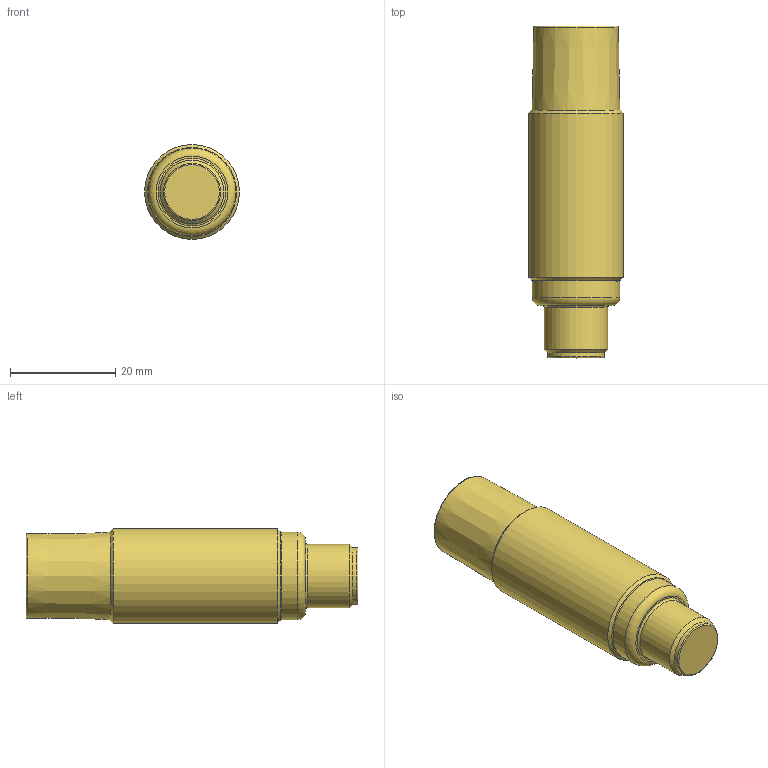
import cadquery as cq
import math

total_length = 63.0

tip_radius = 5.4
plug_radius = 6.05
collar_radius = 8.3
body_radius = 9.0
tail_root_radius = 8.3
tail_taper_angle = 1.0

tip_length = 1.0
collar_start = 9.95
body_start = 14.75
tail_length = 16.0
tail_start = total_length - tail_length

end_round = 0.2
body_chamfer = 0.55
collar_round = 1.5
plug_root_fillet = 0.4
plug_chamfer = plug_radius - tip_radius
chamfered_radius = body_radius - body_chamfer
collar_root_fillet = chamfered_radius - collar_radius


def convex_arc(profile, x, y, radius):
    """Quarter arc from the face point (x, y) outwards to a wall, bulging away from the axis."""
    reach = radius * math.sqrt(0.5)
    middle = (x + reach, y + radius - reach)
    return profile.threePointArc(middle, (x + radius, y + radius))


def concave_arc(profile, wall_radius, face_y, radius):
    """Quarter arc from a wall up to the face at face_y, filling the corner between them."""
    gap = radius * (1 - math.sqrt(0.5))
    middle = (wall_radius + gap, face_y - gap)
    return profile.lineTo(wall_radius, face_y - radius).threePointArc(
        middle, (wall_radius + radius, face_y)
    )


def half_profile():
    """Closed half section of the part, with X as the radius and Y as the axis."""
    profile = cq.Workplane("XY").lineTo(tip_radius - end_round, 0)

    profile = convex_arc(profile, tip_radius - end_round, 0, end_round)
    profile = profile.lineTo(tip_radius, tip_length)
    profile = profile.lineTo(plug_radius, tip_length + plug_chamfer)
    profile = concave_arc(profile, plug_radius, collar_start, plug_root_fillet)

    profile = profile.lineTo(collar_radius - collar_round, collar_start)
    profile = convex_arc(profile, collar_radius - collar_round, collar_start, collar_round)
    profile = concave_arc(profile, collar_radius, body_start, collar_root_fillet)

    profile = profile.lineTo(body_radius, body_start + body_chamfer)
    profile = profile.lineTo(body_radius, tail_start - body_chamfer)
    profile = profile.lineTo(chamfered_radius, tail_start)

    taper = tail_length * math.tan(math.radians(tail_taper_angle))
    profile = profile.lineTo(tail_root_radius, tail_start)
    profile = profile.lineTo(tail_root_radius - taper, total_length)
    return profile.lineTo(0, total_length).close()


housing = half_profile().revolve(360, (0, 0, 0), (0, 1, 0))
result = housing.faces(">Y").edges().fillet(end_round)